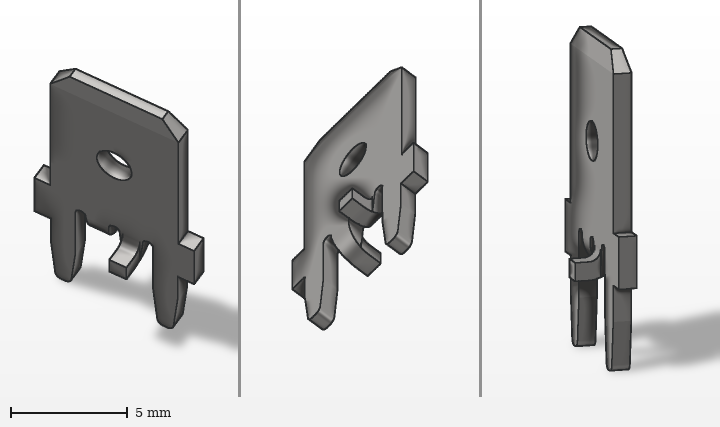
import cadquery as cq
import math

height = 14.02
thickness = 0.81
blade_width = 6.37
bevel_height = 0.9
top_width = 4.6
top_thickness = 0.5
hole_diameter = 1.72
hole_z = 9.52

shoulder_width = 7.92
shoulder_bottom = 3.84
shoulder_top = 6.14

leg_outer_x = 3.14
leg_inner_x = 1.92
leg_taper_z = 2.25
leg_tip_width = 0.75
leg_tip_radius = 0.32

tongue_x = 0.84
tongue_reach = 1.54
tongue_root_width = 1.15
tongue_tip_width = 0.85
bend_z = 5.02
bend_inner_radius = 0.5
slot_top = 5.31

half_thickness = thickness / 2
bend_outer_radius = bend_inner_radius + thickness
tongue_bottom = bend_z - bend_outer_radius
tongue_top = bend_z - bend_inner_radius
leg_x = (leg_outer_x + leg_inner_x) / 2


def extrude_sheet(outline):
    """Extrude an XZ outline evenly about the mid-plane of the sheet."""
    return outline.extrude(half_thickness, both=True)


def make_blade():
    """Blade with clipped top corners, both faces thinned towards the top edge."""
    half_width = blade_width / 2
    half_top = top_width / 2
    bevel_z = height - bevel_height
    front_outline = (
        cq.Workplane("XZ")
        .moveTo(-half_width, shoulder_bottom)
        .lineTo(half_width, shoulder_bottom)
        .lineTo(half_width, bevel_z)
        .lineTo(half_top, height)
        .lineTo(-half_top, height)
        .lineTo(-half_width, bevel_z)
        .close()
    )
    side_profile = (
        cq.Workplane("YZ")
        .moveTo(-half_thickness, shoulder_bottom)
        .lineTo(half_thickness, shoulder_bottom)
        .lineTo(half_thickness, bevel_z)
        .lineTo(top_thickness / 2, height)
        .lineTo(-top_thickness / 2, height)
        .lineTo(-half_thickness, bevel_z)
        .close()
        .extrude(half_width, both=True)
    )
    return extrude_sheet(front_outline).intersect(side_profile)


def make_shoulders():
    shoulder_height = shoulder_top - shoulder_bottom
    return cq.Workplane("XY").box(shoulder_width, thickness, shoulder_height).translate(
        (0, 0, shoulder_bottom + shoulder_height / 2)
    )


def make_leg(side):
    """Leg tapering to a rounded tip; side is -1 or 1."""
    half_tip = leg_tip_width / 2
    outline = (
        cq.Workplane("XZ")
        .moveTo(side * leg_inner_x, shoulder_bottom)
        .lineTo(side * leg_inner_x, leg_taper_z)
        .lineTo(side * (leg_x - half_tip), 0)
        .lineTo(side * (leg_x + half_tip), 0)
        .lineTo(side * leg_outer_x, leg_taper_z)
        .lineTo(side * leg_outer_x, shoulder_bottom)
        .close()
    )
    return extrude_sheet(outline).faces("<Z").edges("|Y").fillet(leg_tip_radius)


def make_slot(center_x, radius):
    """Upright round-topped cutter through the sheet."""
    arc_z = slot_top - radius
    outline = (
        cq.Workplane("XZ")
        .moveTo(center_x - radius, shoulder_bottom)
        .lineTo(center_x - radius, arc_z)
        .threePointArc((center_x, slot_top), (center_x + radius, arc_z))
        .lineTo(center_x + radius, shoulder_bottom)
        .close()
    )
    return extrude_sheet(outline)


def make_opening():
    """Space below the blade: three slots joined to the region under the tongue roots."""
    outer_radius = (leg_inner_x - tongue_x - tongue_root_width / 2) / 2
    center_radius = tongue_x - tongue_root_width / 2
    outer_slot_x = leg_inner_x - outer_radius
    opening = cq.Workplane("XY").box(2 * leg_inner_x, thickness, bend_z - shoulder_bottom).translate(
        (0, 0, (bend_z + shoulder_bottom) / 2)
    )
    opening = opening.union(make_slot(0, center_radius))
    for side in (-1, 1):
        opening = opening.union(make_slot(side * outer_slot_x, outer_radius))
    return opening


def make_tongue(side):
    """Tongue bent towards side * Y: tapered within the sheet, then of constant width."""
    center_x = -side * tongue_x
    bend_y = side * (half_thickness + bend_inner_radius)
    end_y = side * tongue_reach
    diagonal = math.sqrt(0.5)
    profile = (
        cq.Workplane("YZ", origin=(center_x, 0, 0))
        .moveTo(-side * half_thickness, bend_z)
        .threePointArc(
            (bend_y - side * bend_outer_radius * diagonal, bend_z - bend_outer_radius * diagonal),
            (bend_y, tongue_bottom),
        )
        .lineTo(end_y, tongue_bottom)
        .lineTo(end_y, tongue_top)
        .lineTo(bend_y, tongue_top)
        .threePointArc(
            (bend_y - side * bend_inner_radius * diagonal, bend_z - bend_inner_radius * diagonal),
            (side * half_thickness, bend_z),
        )
        .close()
    )
    taper = (
        cq.Workplane("XZ")
        .moveTo(center_x - tongue_root_width / 2, bend_z)
        .lineTo(center_x + tongue_root_width / 2, bend_z)
        .lineTo(center_x + tongue_tip_width / 2, tongue_bottom)
        .lineTo(center_x - tongue_tip_width / 2, tongue_bottom)
        .close()
    )
    free_width = (
        cq.Workplane("XY")
        .box(tongue_tip_width, 2 * tongue_reach, bend_outer_radius)
        .translate((center_x, 0, tongue_bottom + bend_outer_radius / 2))
    )
    strip = profile.extrude(tongue_root_width / 2, both=True)
    return strip.intersect(free_width.union(extrude_sheet(taper)))


hole = extrude_sheet(cq.Workplane("XZ").center(0, hole_z).circle(hole_diameter / 2))

result = make_blade().union(make_shoulders()).cut(make_opening()).cut(hole)
for direction in (-1, 1):
    result = result.union(make_leg(direction)).union(make_tongue(direction))